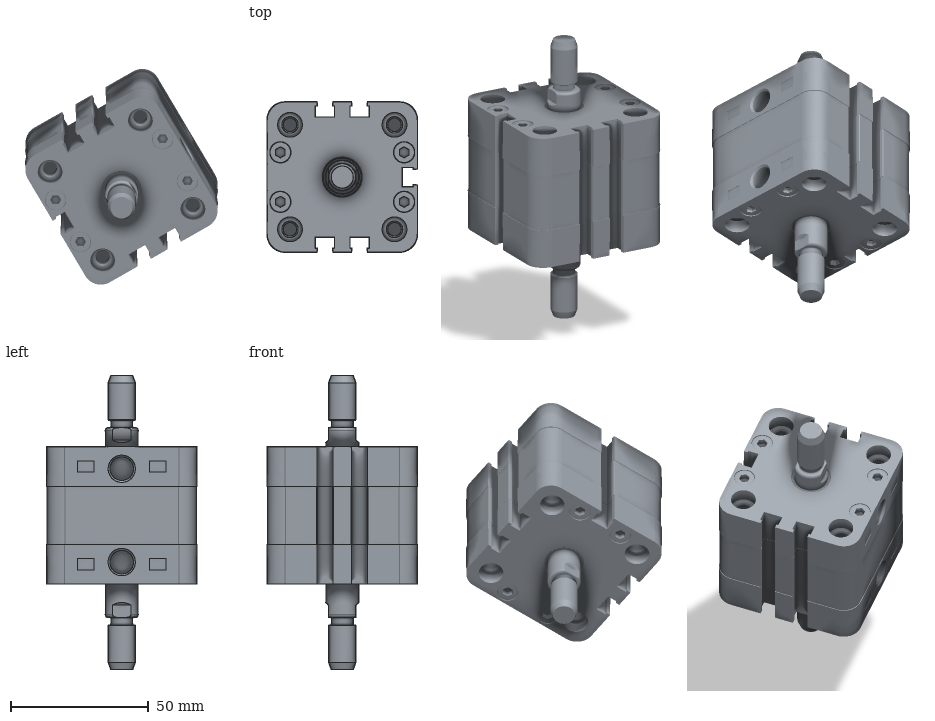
import cadquery as cq
import math


overall_length = 107.0
cap_width = 54.8
cap_face_width = 54.56
cap_corner_radius = 6.6
cap_height = 14.5
barrel_step = 0.2
barrel_height = 21.0
body_height = barrel_height + 2 * cap_height
barrel_width = cap_width - 2 * barrel_step

slot_offset = 6.3
slot_mouth_width = 5.7
slot_inner_width = 7.1
slot_lip = 1.6
slot_depth = 5.6
barrel_slot_step = 0.1
barrel_slot_chamfer = 0.3

mount_offset = 19.0
mount_counterbore_diameter = 9.0
mount_counterbore_depth = 5.0
mount_thread_diameter = 4.92
mount_chamfer = 0.54
mount_thread_depth = 6.0

screw_x = 22.5
screw_y = 9.0
screw_recess_diameter = 7.7
screw_head_diameter = 7.5
screw_gap_depth = 1.0
screw_head_sink = 0.3
hex_corner_diameter = 4.0
hex_depth = 2.5

port_inset = 8.0
port_diameter = 8.57
port_mouth_diameter = 10.0
port_floor_radius = 20.0

label_offset = 13.1
label_inset = 7.2
label_width = 6.0
label_height = 4.1
label_depth = 0.2

rod_diameter = 12.0
rod_shoulder_round = 1.0
rod_top_reach = 25.9
rod_bottom_reach = overall_length - body_height - rod_top_reach
thread_diameter = 10.0
thread_length = 16.1
tip_diameter = 8.0
tip_length = 2.7
neck_diameter = 8.0
neck_round = 0.3
thread_end_chamfer = 0.2
rod_end_length = 19.0
flat_spacing = 10.0
flat_length = 4.45

seal_mouth_diameter = 14.5
seal_chamfer_diameter = 14.0
seal_recess_diameter = 13.7
seal_lip_diameter = 12.54
seal_recess_depth = 0.35
seal_lip_depth = 0.5


def slot_cutter(face, height, mouth_chamfer, step):
    """T-slot prism opening toward +Y at y = face; step draws its walls in from the cap slot."""
    mouth = slot_mouth_width / 2 - step
    inner = slot_inner_width / 2 - step
    lip = cap_width / 2 - slot_lip
    floor = cap_width / 2 - slot_depth + step
    half_outline = [
        (inner, floor),
        (inner, lip),
        (mouth, lip),
        (mouth, face - mouth_chamfer),
    ]
    if mouth_chamfer > 0:
        half_outline.append((mouth + mouth_chamfer, face))
    half_outline.append((mouth + mouth_chamfer, face + slot_lip))
    mirrored_outline = [(-x, y) for x, y in reversed(half_outline)]
    return cq.Workplane("XY").polyline(half_outline + mirrored_outline).close().extrude(height)


def rounded_block(base_width, top_width, height, corner_radius):
    """Square block with rounded corners, drafted when its two widths differ."""
    draft = math.degrees(math.atan2((base_width - top_width) / 2, height))
    outline = cq.Sketch().rect(base_width, base_width).vertices().fillet(corner_radius)
    return cq.Workplane("XY").placeSketch(outline).extrude(height, taper=draft)


def cut_t_slots(block, slot):
    """Paired T-slots on both Y sides and one on the +X side."""
    for x in (-slot_offset, slot_offset):
        pair_slot = slot.translate((x, 0, 0))
        block = block.cut(pair_slot).cut(pair_slot.mirror("XZ"))
    return block.cut(slot.rotate((0, 0, 0), (0, 0, 1), -90))


def cut_mounting_holes(cap):
    """Counterbored corner holes, with the thread mouth chamfered."""
    radius = mount_thread_diameter / 2
    shoulder = cap_height - mount_counterbore_depth
    cutter = (
        cq.Workplane("XZ")
        .moveTo(0, cap_height)
        .lineTo(mount_counterbore_diameter / 2, cap_height)
        .lineTo(mount_counterbore_diameter / 2, shoulder)
        .lineTo(radius + mount_chamfer, shoulder)
        .lineTo(radius, shoulder - mount_chamfer)
        .lineTo(radius, shoulder - mount_thread_depth)
        .lineTo(0, shoulder - mount_thread_depth)
        .close()
        .revolve()
    )
    for x in (-mount_offset, mount_offset):
        for y in (-mount_offset, mount_offset):
            cap = cap.cut(cutter.translate((x, y, 0)))
    return cap


def cut_screw_heads(cap):
    """Recess with a screw head standing just below the face, and its hexagon socket."""
    centres = [(x, y) for x in (-screw_x, screw_x) for y in (-screw_y, screw_y)]
    face = cap.faces(">Z").workplane(origin=(0, 0, cap_height))
    gaps = (
        face.pushPoints(centres)
        .circle(screw_recess_diameter / 2)
        .circle(screw_head_diameter / 2)
        .extrude(-screw_gap_depth, combine=False)
    )
    socket = (
        cq.Workplane("XY", origin=(0, 0, cap_height - hex_depth))
        .polygon(6, hex_corner_diameter)
        .extrude(hex_depth)
        .rotate((0, 0, 0), (0, 0, 1), 90)
    )
    head_tops = (
        face.pushPoints(centres)
        .circle(screw_head_diameter / 2)
        .extrude(-screw_head_sink, combine=False)
    )
    cap = cap.cut(gaps).cut(head_tops)
    for x, y in centres:
        cap = cap.cut(socket.translate((x, y, 0)))
    return cap


def cut_port(cap):
    """Chamfered side port ending on a cylindrical floor around the rod axis."""
    radius = port_diameter / 2
    chamfer = (port_mouth_diameter - port_diameter) / 2
    length = cap_width / 2
    cutter = (
        cq.Workplane("XY")
        .lineTo(0, port_mouth_diameter / 2)
        .lineTo(chamfer, radius)
        .lineTo(length, radius)
        .lineTo(length, 0)
        .close()
        .revolve(axisStart=(0, 0, 0), axisEnd=(1, 0, 0))
        .translate((-length, 0, cap_height - port_inset))
    )
    core = cq.Workplane("XY").circle(port_floor_radius).extrude(cap_height)
    return cap.cut(cutter.cut(core))


def cut_labels(cap):
    """Shallow rectangular panels on either side of the port."""
    panel = cq.Workplane("XY").box(2 * label_depth, label_width, label_height)
    for y in (-label_offset, label_offset):
        cap = cap.cut(panel.translate((-cap_width / 2, y, cap_height - label_inset)))
    return cap


def cut_rod_passage(cap):
    """Rod bore opening into a stepped seal recess at the outer face."""
    chamfer = (seal_mouth_diameter - seal_chamfer_diameter) / 2
    cutter = (
        cq.Workplane("XZ")
        .lineTo(rod_diameter / 2, 0)
        .lineTo(rod_diameter / 2, cap_height - seal_lip_depth)
        .lineTo(seal_lip_diameter / 2, cap_height - seal_lip_depth)
        .lineTo(seal_lip_diameter / 2, cap_height - seal_recess_depth)
        .lineTo(seal_recess_diameter / 2, cap_height - seal_recess_depth)
        .lineTo(seal_recess_diameter / 2, cap_height - chamfer)
        .lineTo(seal_chamfer_diameter / 2, cap_height - chamfer)
        .lineTo(seal_mouth_diameter / 2, cap_height)
        .lineTo(0, cap_height)
        .close()
        .revolve()
    )
    return cap.cut(cutter)


def make_end_cap():
    """End cap with its inner face at Z = 0 and its outer face upward."""
    cap_slot = slot_cutter(cap_width / 2, cap_height, 0, 0)
    cap = rounded_block(cap_width, cap_face_width, cap_height, cap_corner_radius)
    cap = cut_t_slots(cap, cap_slot)
    cap = cut_screw_heads(cap)
    cap = cut_mounting_holes(cap)
    cap = cut_port(cap)
    cap = cut_labels(cap)
    return cut_rod_passage(cap)


def make_barrel():
    """Middle section, slightly smaller than the caps, with slightly tighter slots chamfered at the mouth."""
    barrel_slot = slot_cutter(barrel_width / 2, barrel_height, barrel_slot_chamfer, barrel_slot_step)
    barrel = rounded_block(barrel_width, barrel_width, barrel_height, cap_corner_radius)
    barrel = cut_t_slots(barrel, barrel_slot)
    rod_bore = cq.Workplane("XY").circle(rod_diameter / 2).extrude(barrel_height)
    return barrel.cut(rod_bore)


def make_rod_half(length):
    """Rod from Z = 0 to its threaded tip at Z = length, with two wrench flats facing X."""
    shoulder = length - rod_end_length
    thread_start = length - thread_length
    rod_radius = rod_diameter / 2
    neck_radius = neck_diameter / 2
    thread_radius = thread_diameter / 2
    thread_end = thread_start - thread_end_chamfer
    arc_inset = 1 - math.sqrt(0.5)
    shoulder_inset = rod_shoulder_round * arc_inset
    neck_inset = neck_round * arc_inset
    half = (
        cq.Workplane("XZ")
        .lineTo(rod_radius, 0)
        .lineTo(rod_radius, shoulder - rod_shoulder_round)
        .threePointArc(
            (rod_radius - shoulder_inset, shoulder - shoulder_inset),
            (rod_radius - rod_shoulder_round, shoulder),
        )
        .lineTo(neck_radius + neck_round, shoulder)
        .threePointArc(
            (neck_radius + neck_inset, shoulder + neck_inset),
            (neck_radius, shoulder + neck_round),
        )
        .lineTo(neck_radius, thread_end - neck_round)
        .threePointArc(
            (neck_radius + neck_inset, thread_end - neck_inset),
            (neck_radius + neck_round, thread_end),
        )
        .lineTo(thread_radius - thread_end_chamfer, thread_end)
        .lineTo(thread_radius, thread_start)
        .lineTo(thread_radius, length - tip_length)
        .lineTo(tip_diameter / 2, length)
        .lineTo(0, length)
        .close()
        .revolve()
    )
    flat_depth = (rod_diameter - flat_spacing) / 2
    flat_end = shoulder - flat_length
    flat = (
        cq.Workplane("XZ")
        .moveTo(flat_spacing / 2, shoulder)
        .lineTo(flat_spacing / 2, flat_end)
        .lineTo(flat_spacing / 2 + flat_depth, flat_end - flat_depth)
        .lineTo(flat_spacing / 2 + flat_depth, shoulder)
        .close()
        .extrude(rod_radius, both=True)
    )
    return half.cut(flat).cut(flat.mirror("YZ"))


def make_rod():
    """Single through rod, built as an upper and a lower half joined at mid-body."""
    middle = body_height / 2
    upper = make_rod_half(middle + rod_top_reach)
    lower = make_rod_half(middle + rod_bottom_reach).mirror("XY")
    return upper.union(lower).translate((0, 0, middle))


end_cap = make_end_cap()
top_cap = end_cap.translate((0, 0, cap_height + barrel_height))
bottom_cap = end_cap.mirror("XY").translate((0, 0, cap_height))
barrel = make_barrel().translate((0, 0, cap_height))
rod = make_rod()

result = cq.Compound.makeCompound([top_cap.val(), bottom_cap.val(), barrel.val(), rod.val()])